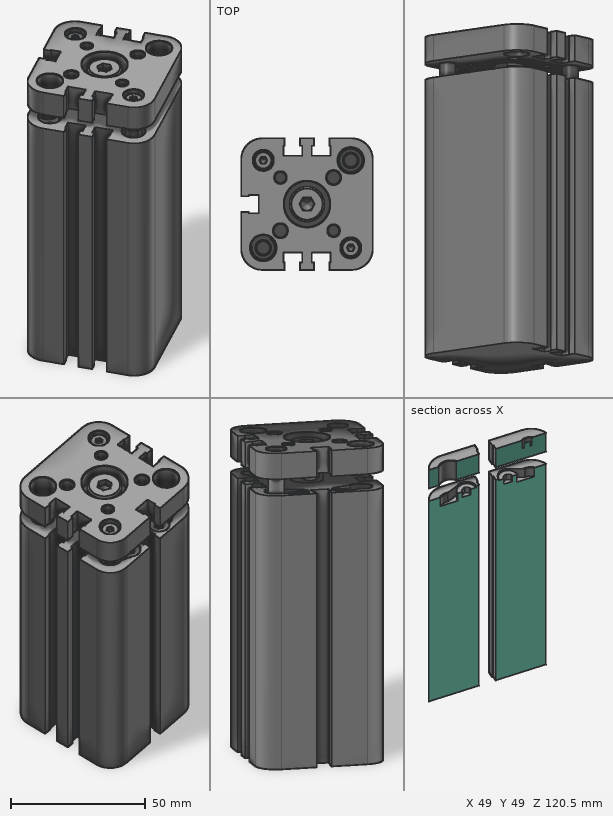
import cadquery as cq
import math

total_height = 120.5
side = 49.0
corner_radius = 8.0
plate_thickness = 9.9
gap = 6.3
edge_break = 0.2

slot_depth = 6.5
slot_lip = 2.9
twin_mouth = (2.7, 8.3)
twin_inner = (1.8, 8.7)
single_mouth = (-2.9, 2.9)
single_inner = (-3.4, 3.4)

piston_diameter = 12.0
piston_chamfer_radial = 0.5
piston_chamfer_height = 1.2
flat_width = 10.0
flat_length = 4.5
guide_diameter = 6.0
guide_offset = 16.3
rod_insertion = 14.2

piston_bore = 17.0
piston_head = 13.0
piston_head_chamfer = 0.7
piston_head_height = 5.0
piston_socket = 5.0
piston_socket_depth = 2.8
guide_bore = 7.5
guide_head = 7.0
guide_head_chamfer = 0.5
guide_head_height = 2.8
guide_socket = 2.5
guide_socket_depth = 1.5
head_recess = 1.5

access_hole = 9.5
pattern_offset = 9.9
thread_hole = 4.1
thread_hole_chamfer = 0.4
dowel_hole = 5.0
dowel_hole_chamfer = 0.4

corner_bore = 8.5
corner_bore_depth = 4.6
mount_thread = 5.0
mount_thread_chamfer = 0.5
mount_thread_depth = 7.2
cap_screw_x = -19.4
cap_screw_y = 8.4
cap_screw_bore = 7.5
cap_screw_recess = 0.7
neck_width = 7.5
cap_screw_socket = 3.3
cap_screw_socket_depth = 2.8
socket_tip_angle = 120.0

housing_height = total_height - plate_thickness - gap
plate_bottom = total_height - plate_thickness
half_side = side / 2
guide_points = [(-guide_offset, guide_offset), (guide_offset, -guide_offset)]
mount_points = [(-guide_offset, -guide_offset), (guide_offset, guide_offset)]
thread_points = [(-pattern_offset, pattern_offset), (pattern_offset, -pattern_offset)]
dowel_points = [(-pattern_offset, -pattern_offset), (pattern_offset, pattern_offset)]
cap_screw_points = [(cap_screw_x, -cap_screw_y), (cap_screw_x, cap_screw_y)]


def box(x_range, y_range, z_range):
    """Box spanning the given coordinate ranges."""
    spans = [high - low for low, high in (x_range, y_range, z_range)]
    corner = (x_range[0], y_range[0], z_range[0])
    return cq.Workplane("XY").box(*spans, centered=False).translate(corner)


def cylinder(point, diameter, bottom, top):
    """Upright cylinder between two levels."""
    base = cq.Workplane("XY", origin=(point[0], point[1], bottom))
    return base.circle(diameter / 2).extrude(top - bottom)


def bore(point, diameter, bottom, top, chamfer=edge_break):
    """Cutter for an upright hole with a chamfered upper rim."""
    rim = cq.Workplane("XY", origin=(point[0], point[1], top - chamfer))
    rim = rim.circle(diameter / 2).workplane(offset=chamfer).circle(diameter / 2 + chamfer).loft()
    return cylinder(point, diameter, bottom, top).union(rim)


def hexagon_socket(point, width, depth, top):
    """Cutter for a hexagon socket with two corners along X."""
    circumdiameter = width / math.cos(math.pi / 6)
    base = cq.Workplane("XY", origin=(point[0], point[1], top - depth))
    return base.polygon(6, circumdiameter).extrude(depth)


def screw_head(point, diameter, chamfer, bottom, top, socket, socket_depth):
    """Chamfered cylinder head with a hexagon socket that ends in a drilled cone."""
    head = cylinder(point, diameter, bottom, top).faces(">Z").chamfer(chamfer)
    radius = socket / 2
    tip_height = radius / math.tan(math.radians(socket_tip_angle / 2))
    tip_base = cq.Vector(point[0], point[1], top - socket_depth)
    tip = cq.Solid.makeCone(radius, 0, tip_height, tip_base, cq.Vector(0, 0, -1))
    return head.cut(hexagon_socket(point, socket, socket_depth, top)).cut(cq.Workplane(tip))


def slotted_block(bottom, top):
    """Square profile with rounded corners, twin T-slots on both Y sides and one on the -X side."""
    levels = (bottom, top)
    block = box((-half_side, half_side), (-half_side, half_side), levels)
    block = block.edges("|Z").fillet(corner_radius)
    lip_start = half_side - slot_lip
    floor = half_side - slot_depth
    slots = box(twin_mouth, (floor, half_side), levels).union(box(twin_inner, (floor, lip_start), levels))
    slots = slots.union(slots.mirror("YZ"))
    slots = slots.union(slots.mirror("XZ"))
    single = box((-half_side, -floor), single_mouth, levels)
    single = single.union(box((-lip_start, -floor), single_inner, levels))
    return block.cut(slots).cut(single)


def neck(cap_screw):
    """Cutter for the straight channel from a cap screw recess to the corner bore beside it."""
    end_x = -guide_offset
    end_y = math.copysign(guide_offset, cap_screw[1])
    length = math.hypot(end_x - cap_screw[0], end_y - cap_screw[1])
    angle = math.degrees(math.atan2(end_y - cap_screw[1], end_x - cap_screw[0]))
    levels = (housing_height - corner_bore_depth, housing_height)
    channel = box((0, length), (-neck_width / 2, neck_width / 2), levels)
    channel = channel.rotate((0, 0, 0), (0, 0, 1), angle).translate((cap_screw[0], cap_screw[1], 0))
    return channel.cut(cylinder(cap_screw, cap_screw_bore, *levels))


def make_housing():
    """Cylinder housing, bored for the rods, with mounting threads and cap screws in its top face."""
    housing = slotted_block(0, housing_height)
    rod_end = housing_height - rod_insertion
    housing = housing.cut(cylinder((0, 0), piston_diameter, rod_end, housing_height))
    for point in guide_points:
        housing = housing.cut(cylinder(point, guide_diameter, rod_end, housing_height))

    corner_floor = housing_height - corner_bore_depth
    for point in guide_points + mount_points:
        housing = housing.cut(bore(point, corner_bore, corner_floor, housing_height))
    thread_end = corner_floor - mount_thread_depth
    for point in mount_points:
        housing = housing.cut(bore(point, mount_thread, thread_end, corner_floor, mount_thread_chamfer))

    cap_screw_top = housing_height - cap_screw_recess
    for point in cap_screw_points:
        housing = housing.cut(neck(point))
        housing = housing.cut(bore(point, cap_screw_bore, cap_screw_top, housing_height))
        housing = housing.cut(hexagon_socket(point, cap_screw_socket, cap_screw_socket_depth, cap_screw_top))
    return housing


def make_piston_rod():
    """Rod with a chamfered upper shoulder and two wrench flats facing -X and +X."""
    rod = cylinder((0, 0), piston_diameter, housing_height - rod_insertion, plate_bottom)
    rod = rod.faces(">Z").chamfer(piston_chamfer_height, piston_chamfer_radial)
    radius = piston_diameter / 2
    flat = flat_width / 2
    run_out = radius - flat
    flat_end = plate_bottom - flat_length
    cutter = (
        cq.Workplane("XZ")
        .moveTo(flat, plate_bottom)
        .lineTo(flat, flat_end)
        .lineTo(radius, flat_end - run_out)
        .lineTo(radius, plate_bottom)
        .close()
        .extrude(radius, both=True)
    )
    return rod.cut(cutter).cut(cutter.mirror("YZ"))


def make_slide():
    """Front plate with the piston rod, the guide rods and their screws."""
    plate = slotted_block(plate_bottom, total_height)
    for point in mount_points:
        plate = plate.cut(bore(point, access_hole, plate_bottom, total_height))
    for point in thread_points:
        plate = plate.cut(bore(point, thread_hole, plate_bottom, total_height, thread_hole_chamfer))
    for point in dowel_points:
        plate = plate.cut(bore(point, dowel_hole, plate_bottom, total_height, dowel_hole_chamfer))

    head_top = total_height - head_recess
    piston_seat = head_top - piston_head_height
    plate = plate.cut(bore((0, 0), piston_bore, piston_seat, total_height))
    slide = plate.union(make_piston_rod())
    slide = slide.union(
        screw_head(
            (0, 0), piston_head, piston_head_chamfer, piston_seat, head_top, piston_socket, piston_socket_depth
        )
    )
    guide_seat = head_top - guide_head_height
    for point in guide_points:
        slide = slide.cut(bore(point, guide_bore, guide_seat, total_height))
        slide = slide.union(cylinder(point, guide_diameter, housing_height - rod_insertion, plate_bottom))
        slide = slide.union(
            screw_head(
                point, guide_head, guide_head_chamfer, guide_seat, head_top, guide_socket, guide_socket_depth
            )
        )
    return slide


housing = make_housing()
slide = make_slide()

result = cq.Compound.makeCompound([housing.val(), slide.val()])